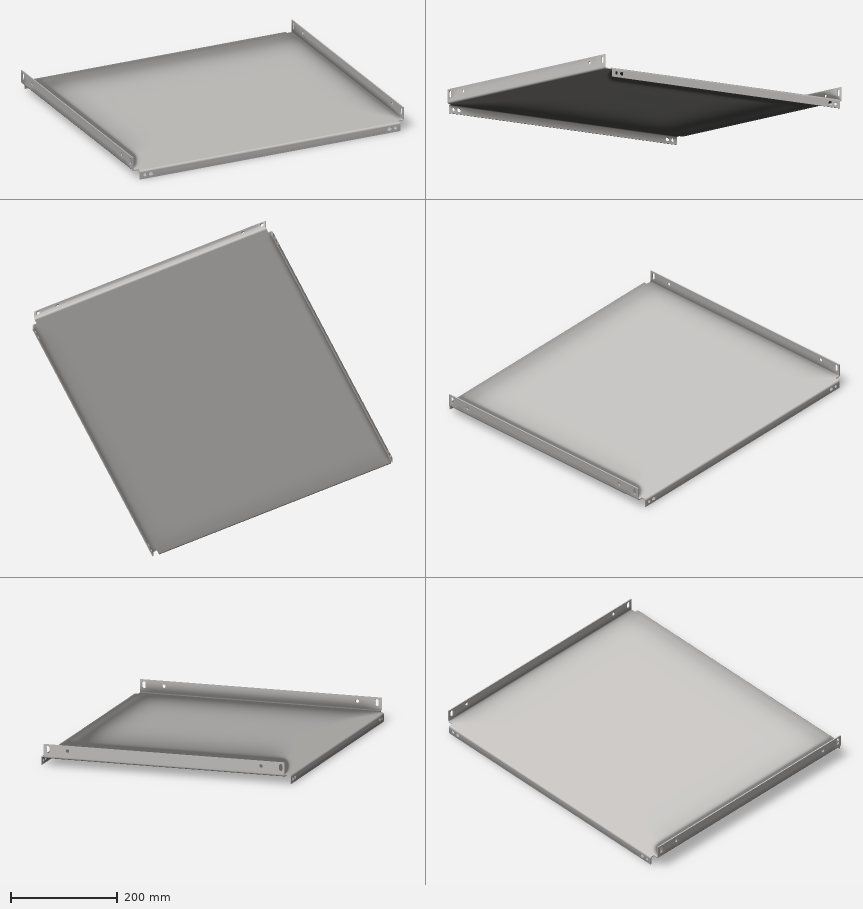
import cadquery as cq

LENGTH_X = 498.0
LENGTH_Y = 569.0
HEIGHT = 43.0

THICKNESS = 2.0
BEND_OUTER = 4.0
BEND_INNER = BEND_OUTER - THICKNESS

PLATE_TOP = 17.5
PLATE_BOTTOM = PLATE_TOP - THICKNESS
END_INSET = 9.0
SIDE_INSET = 11.5
END_WIDTH = LENGTH_X - 2 * END_INSET
SIDE_LENGTH = LENGTH_Y - 2 * SIDE_INSET

END_SLOT_WIDTH = 7.0
END_SLOT_LENGTH = 13.5
END_SLOT_X = END_WIDTH / 2 - 8.0
END_HOLE_DIAMETER = 7.0
END_HOLE_X = END_WIDTH / 2 - 47.0
END_OPENING_Z = HEIGHT - 10.0

SIDE_HOLE_DIAMETER = 7.0
SIDE_HOLE_Y = SIDE_LENGTH / 2 - 10.0
SIDE_SLOT_WIDTH = 7.0
SIDE_SLOT_LENGTH = 9.0
SIDE_SLOT_Y = SIDE_LENGTH / 2 - 23.0
SIDE_OPENING_Z = 8.0


def folded_channel(plane, span, web_outer, flange_tip, width):
    """Channel with rounded bends: a web at web_outer and flanges to flange_tip."""
    up = 1 if flange_tip > web_outer else -1

    def filled_profile(half_span, base, radius):
        return (
            cq.Workplane(plane)
            .moveTo(-half_span, flange_tip)
            .lineTo(-half_span, base + up * radius)
            .radiusArc((-half_span + radius, base), -up * radius)
            .lineTo(half_span - radius, base)
            .radiusArc((half_span, base + up * radius), -up * radius)
            .lineTo(half_span, flange_tip)
            .close()
            .extrude(width / 2, both=True)
        )

    outside = filled_profile(span / 2, web_outer, BEND_OUTER)
    inside = filled_profile(span / 2 - THICKNESS, web_outer + up * THICKNESS, BEND_INNER)
    return outside.cut(inside)


def mirrored_points(offset, height):
    return [(-offset, height), (offset, height)]


end_channel = folded_channel("YZ", LENGTH_Y, PLATE_BOTTOM, HEIGHT, END_WIDTH)
end_channel = end_channel.cut(
    cq.Workplane("XZ")
    .pushPoints(mirrored_points(END_SLOT_X, END_OPENING_Z))
    .slot2D(END_SLOT_LENGTH, END_SLOT_WIDTH, 90)
    .pushPoints(mirrored_points(END_HOLE_X, END_OPENING_Z))
    .circle(END_HOLE_DIAMETER / 2)
    .extrude(LENGTH_Y, both=True)
)

side_channel = folded_channel("XZ", LENGTH_X, PLATE_TOP, 0, SIDE_LENGTH)
side_channel = side_channel.cut(
    cq.Workplane("YZ")
    .pushPoints(mirrored_points(SIDE_HOLE_Y, SIDE_OPENING_Z))
    .circle(SIDE_HOLE_DIAMETER / 2)
    .pushPoints(mirrored_points(SIDE_SLOT_Y, SIDE_OPENING_Z))
    .slot2D(SIDE_SLOT_LENGTH, SIDE_SLOT_WIDTH)
    .extrude(LENGTH_X, both=True)
)

result = end_channel.union(side_channel)